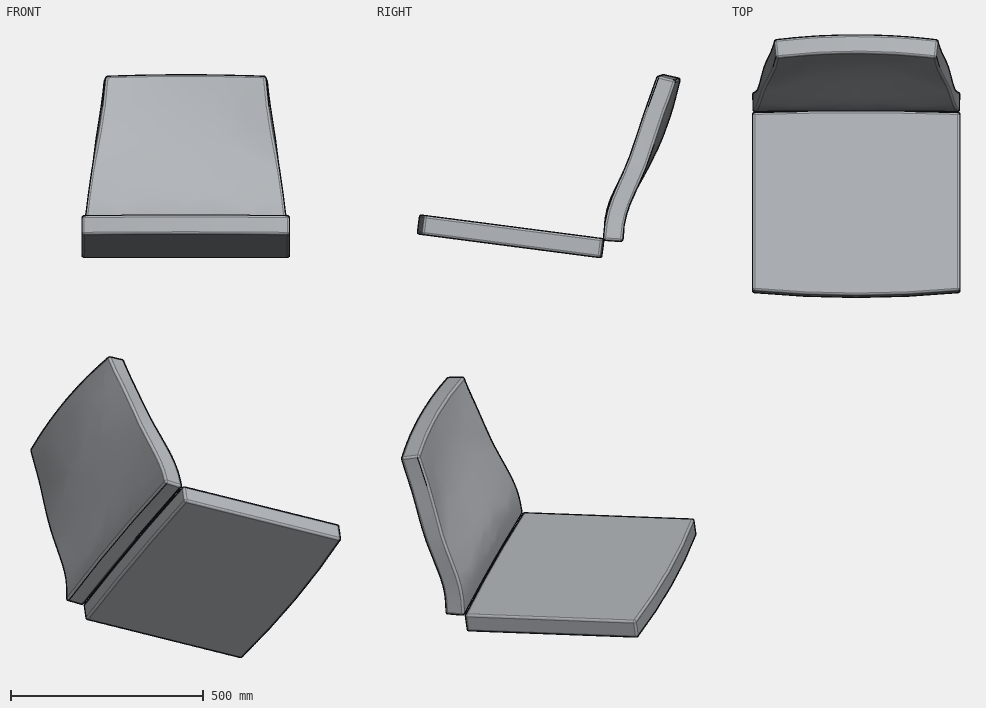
import cadquery as cq
import math


cushion_thickness = 50.5
edge_radius = 6.0

seat_width = 538.29
seat_tilt = 7.4
seat_side_length = 466.0
seat_front_bow = 13.0
seat_rear_bow = 4.5
seat_top_drop = 1.5
seat_rear_offset = -1.0

back_bottom_z = -6.5
back_section_spacing = 53.42
back_lean = 18.0
back_sections = [
    (0.0, 269.0, 3.0),
    (6.5, 261.5, -2.0),
    (21.0, 255.0, -3.0),
    (44.5, 247.5, 0.0),
    (66.5, 238.5, 9.5),
    (84.5, 228.0, 19.0),
    (102.0, 218.5, 22.5),
    (121.0, 212.0, 19.0),
    (139.5, 207.0, 13.0),
]
points_across = 9
surface_tolerance = 0.5


def make_seat():
    """Bowed outline on the tilted top plane, whose local Y points backward, given its thickness downward."""
    tilt = math.radians(seat_tilt)
    top_plane = cq.Plane(
        origin=(0, 0, -seat_top_drop),
        xDir=(1, 0, 0),
        normal=(0, math.sin(tilt), math.cos(tilt)),
    )
    half_width = seat_width / 2
    rear = seat_rear_offset
    front = rear - seat_side_length
    slab = (
        cq.Workplane(top_plane)
        .moveTo(-half_width, front)
        .threePointArc((0, front - seat_front_bow), (half_width, front))
        .lineTo(half_width, rear)
        .threePointArc((0, rear + seat_rear_bow), (-half_width, rear))
        .close()
        .extrude(-cushion_thickness)
    )
    return slab.edges().fillet(edge_radius)


def back_row(index):
    """Points across the front of the backrest at one height, on a shallow parabola."""
    side_y, half_width, hollow = back_sections[index]
    side_z = back_bottom_z + index * back_section_spacing
    lean = math.radians(back_lean)
    row = []
    for column in range(points_across):
        across = 2 * column / (points_across - 1) - 1
        depth = hollow * (1 - across**2)
        y = side_y + depth * math.cos(lean)
        z = side_z + depth * math.sin(lean)
        row.append(cq.Vector(across * half_width, y, z))
    return row


def make_backrest():
    """Smooth front surface through the rows, thickened backward so its sides stand square to it."""
    rows = [back_row(index) for index in range(len(back_sections))]
    front = cq.Face.makeSplineApprox(rows, tol=surface_tolerance, minDeg=3, maxDeg=5)
    body = cq.Workplane(front.thicken(cushion_thickness))
    return body.edges().fillet(edge_radius)


seat = make_seat()
backrest = make_backrest()

result = cq.Compound.makeCompound([seat.val(), backrest.val()])